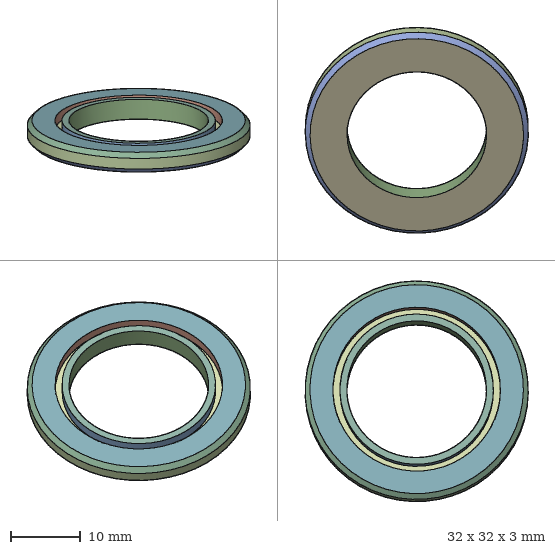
import cadquery as cq

outer_diameter = 32.0
bore_diameter = 20.0
thickness = 3.0
edge_chamfer = 0.7

lip_width = 1.0
groove_width = 1.0
groove_depth = thickness / 2

groove_inner_diameter = bore_diameter + 2 * lip_width
groove_outer_diameter = groove_inner_diameter + 2 * groove_width


def ring(outer, inner, height):
    """Flat ring standing on the XY plane, centred on the Z axis."""
    return cq.Workplane("XY").circle(outer / 2).circle(inner / 2).extrude(height)


def chamfered_body():
    """Ring with both outer rims chamfered and the bore edges left sharp."""
    disc = cq.Workplane("XY").circle(outer_diameter / 2).extrude(thickness)
    disc = disc.faces("<Z or >Z").edges().chamfer(edge_chamfer)
    bore = cq.Workplane("XY").circle(bore_diameter / 2).extrude(thickness)
    return disc.cut(bore)


def top_groove():
    """Volume removed by the annular groove."""
    groove = ring(groove_outer_diameter, groove_inner_diameter, groove_depth)
    return groove.translate((0, 0, thickness - groove_depth))


result = chamfered_body().cut(top_groove())